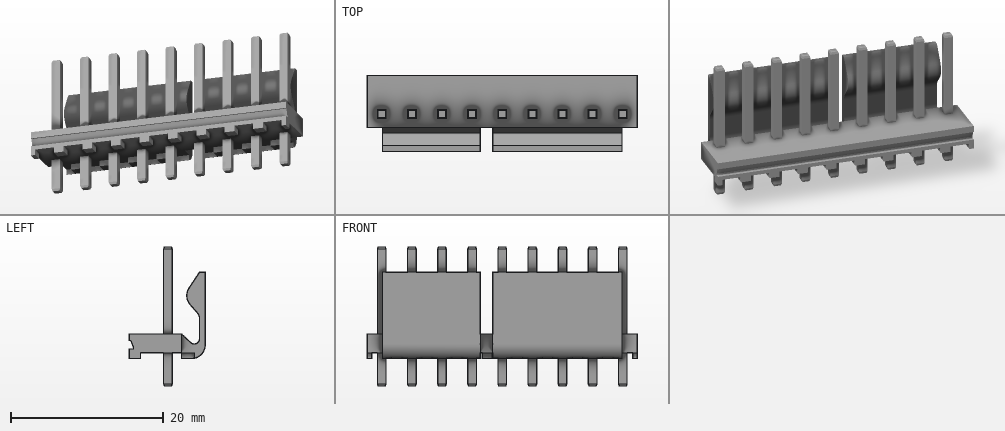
import cadquery as cq
import math


pin_count = 9
pin_pitch = 3.96
pin_size = 1.16
pin_top = 11.43
pin_bottom = -6.86
tip_height = 0.3
tip_inset = 0.11

base_length = 35.49
base_depth = 6.86
base_thickness = 2.5
base_front = -1.77
base_back = base_front + base_depth

foot_height = 0.76
foot_width = 1.35
back_foot_depth = 1.5
front_foot_depth = 1.75
foot_bottom = -base_thickness - foot_height

groove_top = -0.88
groove_bottom = -1.97
groove_lip_depth = 0.2
groove_depth = 0.55
groove_flat_height = 0.2

overall_depth = 10.01
wall_front = base_back - overall_depth
wall_thickness = 0.77
wall_inner = wall_front + wall_thickness
wall_top = 8.12
bulge_apex_depth = 2.91
bulge_apex_y = wall_front + bulge_apex_depth
bulge_apex_z = 4.86
bulge_radius = 1.8
neck_z = 2.43
neck_radius = 1.3
hook_z = -2.21
hook_radius = 0.69
heel_radius = 1.82

row_half_length = (pin_count - 1) * pin_pitch / 2
latch_end_inset = 0.07
latch_half_length = row_half_length - latch_end_inset
latch_gap_start = -2.88
latch_gap_width = 1.6
latch_spans = [
    (-latch_half_length, latch_gap_start),
    (latch_gap_start + latch_gap_width, latch_half_length),
]


def pin_positions():
    return [i * pin_pitch - row_half_length for i in range(pin_count)]


def extrude_yz(points, x_start, x_end):
    """Extrude a closed YZ outline from x_start to x_end."""
    outline = cq.Workplane("YZ", origin=(x_start, 0, 0)).polyline(points).close()
    return outline.extrude(x_end - x_start)


def block(x_range, y_range, z_range):
    """Box between the given limits."""
    sizes = [high - low for low, high in (x_range, y_range, z_range)]
    corner = (x_range[0], y_range[0], z_range[0])
    return cq.Workplane("XY").box(*sizes, centered=False).translate(corner)


def make_base():
    """Flat bar with a full-length groove and a back rail, which is later divided into feet."""
    rail_front = base_back - back_foot_depth
    groove_flat_top = groove_bottom + groove_flat_height
    outline = [
        (base_front, 0),
        (base_back, 0),
        (base_back, groove_top),
        (base_back - groove_lip_depth, groove_top),
        (base_back - groove_depth, groove_flat_top),
        (base_back - groove_depth, groove_bottom),
        (base_back, groove_bottom),
        (base_back, foot_bottom),
        (rail_front, foot_bottom),
        (rail_front, -base_thickness),
        (base_front, -base_thickness),
    ]
    return extrude_yz(outline, -base_length / 2, base_length / 2)


def make_latch(x_start, x_end):
    """Wall segment with a rounded snap bulge, joined to the base by a hook."""
    corners = [
        (wall_front, wall_top, None),
        (wall_inner, wall_top, None),
        (bulge_apex_y, bulge_apex_z, bulge_radius),
        (wall_inner, neck_z, neck_radius),
        (wall_inner, hook_z, hook_radius),
        (base_front, 0, None),
        (base_front, foot_bottom, None),
        (wall_front, foot_bottom, heel_radius),
    ]
    latch = extrude_yz([(y, z) for y, z, _ in corners], x_start, x_end)
    x_middle = (x_start + x_end) / 2
    for y, z, radius in corners:
        if radius:
            corner_edge = cq.selectors.NearestToPointSelector((x_middle, y, z))
            latch = latch.edges("|X").edges(corner_edge).fillet(radius)
    return latch


def make_foot_gaps():
    """Clearances around every pin that divide the undersides into feet."""
    half_width = (pin_pitch - foot_width) / 2
    gaps = cq.Workplane("XY")
    for x in pin_positions():
        gaps = gaps.add(
            block(
                (x - half_width, x + half_width),
                (base_front - front_foot_depth, base_back),
                (foot_bottom, -base_thickness),
            )
        )
    return gaps.combine()


def make_pin(x):
    """Square pin, tapered at both ends."""
    taper = math.degrees(math.atan(tip_inset / tip_height))
    shank_top = pin_top - tip_height
    shank_bottom = pin_bottom + tip_height

    def square(z):
        return cq.Workplane("XY", origin=(x, 0, z)).rect(pin_size, pin_size)

    shank = square(shank_bottom).extrude(shank_top - shank_bottom)
    top_tip = square(shank_top).extrude(tip_height, taper=taper)
    bottom_tip = square(shank_bottom).extrude(-tip_height, taper=taper)
    return shank.union(top_tip).union(bottom_tip)


result = make_base()
for span in latch_spans:
    result = result.union(make_latch(*span))
result = result.cut(make_foot_gaps())
for pin_x in pin_positions():
    result = result.union(make_pin(pin_x))